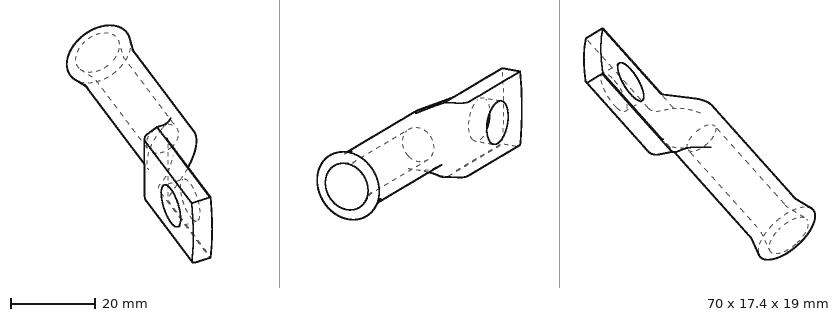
import cadquery as cq
import math

length = 69.95

barrel_radius = 7.05
barrel_end = 48.95
bore_radius = 4.3
bore_depth = 35.0

mouth_radius = 5.8
flare_radius = 8.45
lip_depth = 0.7
flare_cone_end = 5.25
flare_blend_end = 7.35
flare_cone_rise = 0.15

palm_half_width = 9.5
palm_front_y = -8.95
palm_back_y = -3.9
taper_start_y = -4.1
end_crown = 0.85
hole_radius = 5.25
hole_x = 57.9
heel_radius = 2.45
edge_radius = 1.0

back_slope = math.radians(60)
front_slope = math.radians(67)
back_foot_x = 45.75
front_foot_x = 42.6
foot_radius = 0.55
web_blend_radius = 2.1
rim_radius = 0.7


def back_face_x(y):
    return back_foot_x - (y - palm_back_y) / math.tan(back_slope)


def front_face_x(y):
    return front_foot_x - (y - palm_front_y) / math.tan(front_slope)


def make_barrel():
    """Solid barrel with its flared mouth, turned about X."""
    blend_radius = barrel_radius + flare_cone_rise
    return (
        cq.Workplane("XY")
        .moveTo(0, 0)
        .lineTo(0, mouth_radius)
        .lineTo(lip_depth, flare_radius)
        .lineTo(flare_cone_end, blend_radius)
        .tangentArcPoint((flare_blend_end, barrel_radius), relative=False)
        .lineTo(barrel_end, barrel_radius)
        .lineTo(barrel_end, 0)
        .close()
        .revolve(360, (0, 0, 0), (1, 0, 0))
    )


def make_bore():
    """Blind bore that opens conically at the mouth."""
    return (
        cq.Workplane("XY")
        .moveTo(0, 0)
        .lineTo(0, mouth_radius)
        .lineTo(flare_cone_end, bore_radius + flare_cone_rise)
        .tangentArcPoint((flare_blend_end, bore_radius), relative=False)
        .lineTo(bore_depth, bore_radius)
        .lineTo(bore_depth, 0)
        .close()
        .revolve(360, (0, 0, 0), (1, 0, 0))
    )


def make_section():
    """End outline: the palm's width, narrowing along tangents to the barrel."""
    corner_distance = math.hypot(taper_start_y, palm_half_width)
    corner_angle = math.atan2(palm_half_width, taper_start_y)
    tangent_angle = corner_angle - math.acos(barrel_radius / corner_distance)
    tangent_y = barrel_radius * math.cos(tangent_angle)
    tangent_z = barrel_radius * math.sin(tangent_angle)
    return (
        cq.Workplane("YZ")
        .moveTo(palm_front_y, -palm_half_width)
        .lineTo(taper_start_y, -palm_half_width)
        .lineTo(tangent_y, -tangent_z)
        .threePointArc((barrel_radius, 0), (tangent_y, tangent_z))
        .lineTo(taper_start_y, palm_half_width)
        .lineTo(palm_front_y, palm_half_width)
        .close()
        .extrude(length)
    )


def make_rear_envelope():
    """End outline run along X and cut away behind the neck and palm, with a softened rim."""
    top = 2 * barrel_radius
    void = (
        cq.Workplane("XY")
        .workplane(offset=-length / 2)
        .moveTo(back_face_x(top), top)
        .lineTo(back_foot_x, palm_back_y)
        .lineTo(2 * length, palm_back_y)
        .lineTo(2 * length, top)
        .close()
        .extrude(length)
    )
    envelope = make_section().cut(void)
    slope_centre = cq.selectors.NearestToPointSelector((back_face_x(0), 0, 0))
    rim = envelope.faces(slope_centre).edges("%ELLIPSE")
    envelope = rim.fillet(rim_radius)
    foot = cq.selectors.NearestToPointSelector((back_foot_x, palm_back_y, 0))
    return envelope.edges("|Z").edges(foot).fillet(foot_radius)


def make_neck_block():
    """Oversized block bounded by the neck's front face, the heel and the palm's front."""
    top = 2 * barrel_radius
    block = (
        cq.Workplane("XY")
        .workplane(offset=-length / 2)
        .moveTo(front_face_x(top), top)
        .lineTo(2 * length, top)
        .lineTo(2 * length, palm_front_y)
        .lineTo(front_foot_x, palm_front_y)
        .close()
        .extrude(length)
    )
    heel = cq.selectors.NearestToPointSelector((front_foot_x, palm_front_y, 0))
    return block.edges(heel).fillet(heel_radius)


def make_crowned_end():
    """Envelope whose far end bows outward across the palm's width."""
    return (
        cq.Workplane("XZ")
        .workplane(offset=-length)
        .moveTo(0, -palm_half_width)
        .lineTo(length - end_crown, -palm_half_width)
        .threePointArc((length, 0), (length - end_crown, palm_half_width))
        .lineTo(0, palm_half_width)
        .close()
        .extrude(2 * length)
    )


barrel = make_barrel()
body = barrel.union(make_neck_block())

junction = cq.selectors.NearestToPointSelector((front_face_x(0), 0, 0))
body = body.edges("%ELLIPSE").edges(junction).fillet(web_blend_radius)

flare = barrel.intersect(cq.Workplane("XY").box(2 * flare_blend_end, length, length))
body = body.intersect(make_rear_envelope()).union(flare)

lower_edge = cq.selectors.NearestToPointSelector((hole_x, palm_front_y, -palm_half_width))
body = body.edges(lower_edge).fillet(edge_radius)

hole = cq.Workplane("XZ").center(hole_x, 0).circle(hole_radius).extrude(length, both=True)
result = body.intersect(make_crowned_end())
result = result.cut(make_bore()).cut(hole)